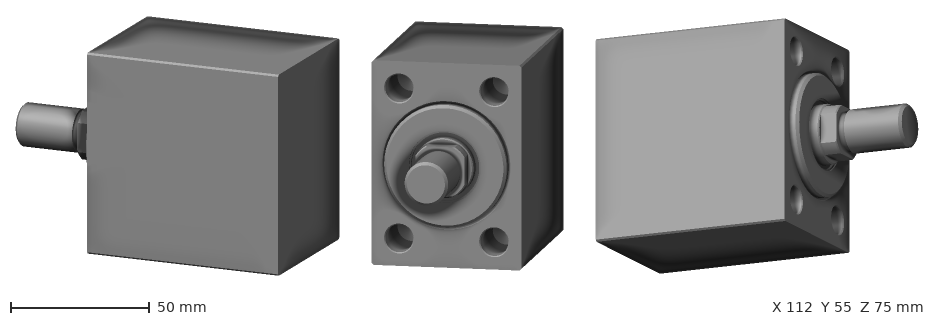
import cadquery as cq
import math


TOTAL_LENGTH = 112.0
BLOCK_SIDE = 75.0
BLOCK_WIDTH = 55.0
BLOCK_EDGE_CHAMFER = 0.7
BLOCK_FRONT = TOTAL_LENGTH - BLOCK_SIDE

GLAND_DIAMETER = 45.0
GLAND_PROTRUSION = 3.0
GLAND_CHAMFER = 1.0
GLAND_SEAT_DEPTH = 11.2
SEAT_MOUTH_DIAMETER = 47.0
GLAND_FRONT = BLOCK_FRONT - GLAND_PROTRUSION
SEAT_FLOOR = BLOCK_FRONT + GLAND_SEAT_DEPTH

WIPER_DIAMETER = 25.1
WIPER_LENGTH = 5.0
WIPER_RECESS = 1.6
POCKET_MOUTH_DIAMETER = 26.4
POCKET_MOUTH_DEPTH = 0.6
WIPER_FRONT = GLAND_FRONT + WIPER_RECESS
WIPER_BACK = WIPER_FRONT + WIPER_LENGTH

THREAD_DIAMETER = 16.0
THREAD_LENGTH = 22.5
THREAD_CHAMFER = 1.0
UNDERCUT_DIAMETER = 14.0
UNDERCUT_FILLET = 0.5
FLATS_START = 25.0
FLATS_END = 31.1
FLATS_COLLAR_DIAMETER = 21.0
ACROSS_FLATS = 18.0
SHANK_DIAMETER = 22.0
SHOULDER_CHAMFER = 0.5

HOLE_DIAMETER = 10.2
HOLE_MOUTH_DIAMETER = 11.0
HOLE_DEPTH = 22.4
HOLE_POINT_ANGLE = 118.0
HOLE_SPACING_Y = 35.0
HOLE_SPACING_Z = 55.0


def revolve_about_x(profile):
    """Turn a closed (x, radius) profile about the X axis."""
    return profile.close().revolve(360, (0, 0, 0), (1, 0, 0))


def cylinder(diameter, x_start, x_end):
    """Solid cylinder on the X axis."""
    disc = cq.Workplane("YZ", origin=(x_start, 0, 0)).circle(diameter / 2)
    return disc.extrude(x_end - x_start)


def tapered_mouth(mouth_diameter, bore_diameter, x_start):
    """45 degree countersink on the X axis, opening toward -X."""
    mouth_radius = mouth_diameter / 2
    bore_radius = bore_diameter / 2
    profile = (
        cq.Workplane("XY")
        .moveTo(x_start, 0)
        .lineTo(x_start, mouth_radius)
        .lineTo(x_start + mouth_radius - bore_radius, bore_radius)
        .lineTo(x_start + mouth_radius - bore_radius, 0)
    )
    return revolve_about_x(profile)


def make_mounting_hole():
    """Cutter for one blind hole with a countersunk mouth and a drill-point bottom."""
    radius = HOLE_DIAMETER / 2
    mouth_radius = HOLE_MOUTH_DIAMETER / 2
    countersink_end = BLOCK_FRONT + mouth_radius - radius
    hole_end = BLOCK_FRONT + HOLE_DEPTH
    point_length = radius / math.tan(math.radians(HOLE_POINT_ANGLE / 2))
    profile = (
        cq.Workplane("XY")
        .moveTo(BLOCK_FRONT, 0)
        .lineTo(BLOCK_FRONT, mouth_radius)
        .lineTo(countersink_end, radius)
        .lineTo(hole_end, radius)
        .lineTo(hole_end + point_length, 0)
    )
    return revolve_about_x(profile)


def make_housing():
    block = (
        cq.Workplane("XY")
        .box(BLOCK_SIDE, BLOCK_WIDTH, BLOCK_SIDE)
        .edges("|X")
        .chamfer(BLOCK_EDGE_CHAMFER)
        .translate((BLOCK_FRONT + BLOCK_SIDE / 2, 0, 0))
    )
    block = block.cut(cylinder(GLAND_DIAMETER, BLOCK_FRONT, SEAT_FLOOR))
    block = block.cut(tapered_mouth(SEAT_MOUTH_DIAMETER, GLAND_DIAMETER, BLOCK_FRONT))
    hole = make_mounting_hole()
    for y in (-HOLE_SPACING_Y / 2, HOLE_SPACING_Y / 2):
        for z in (-HOLE_SPACING_Z / 2, HOLE_SPACING_Z / 2):
            block = block.cut(hole.translate((0, y, z)))
    return block


def make_gland():
    disc = cylinder(GLAND_DIAMETER, GLAND_FRONT, SEAT_FLOOR)
    disc = disc.faces("<X").edges().chamfer(GLAND_CHAMFER)
    rod_bore = cylinder(SHANK_DIAMETER, GLAND_FRONT, SEAT_FLOOR)
    wiper_pocket = cylinder(WIPER_DIAMETER, GLAND_FRONT, WIPER_BACK)
    pocket_mouth = cylinder(POCKET_MOUTH_DIAMETER, GLAND_FRONT, GLAND_FRONT + POCKET_MOUTH_DEPTH)
    return disc.cut(rod_bore).cut(wiper_pocket).cut(pocket_mouth)


def make_wiper():
    ring = cylinder(WIPER_DIAMETER, WIPER_FRONT, WIPER_BACK)
    return ring.cut(cylinder(SHANK_DIAMETER, WIPER_FRONT, WIPER_BACK))


def make_threaded_end():
    """Thread blank with a chamfered tip, and the undercut with rounded corners behind it."""
    thread_radius = THREAD_DIAMETER / 2
    undercut_radius = UNDERCUT_DIAMETER / 2
    fillet_top = undercut_radius + UNDERCUT_FILLET
    fillet_mid = UNDERCUT_FILLET * (1 - math.sqrt(0.5))
    profile = (
        cq.Workplane("XY")
        .lineTo(0, thread_radius - THREAD_CHAMFER)
        .lineTo(THREAD_CHAMFER, thread_radius)
        .lineTo(THREAD_LENGTH, thread_radius)
        .lineTo(THREAD_LENGTH, fillet_top)
        .threePointArc(
            (THREAD_LENGTH + fillet_mid, undercut_radius + fillet_mid),
            (THREAD_LENGTH + UNDERCUT_FILLET, undercut_radius),
        )
        .lineTo(FLATS_START - UNDERCUT_FILLET, undercut_radius)
        .threePointArc(
            (FLATS_START - fillet_mid, undercut_radius + fillet_mid),
            (FLATS_START, fillet_top),
        )
        .lineTo(FLATS_START, 0)
    )
    return revolve_about_x(profile)


def make_wrench_collar():
    """Chamfered collar with four wrench flats."""
    collar = cylinder(FLATS_COLLAR_DIAMETER, FLATS_START, FLATS_END)
    collar = collar.faces("<X").edges().chamfer(SHOULDER_CHAMFER)
    square = (
        cq.Workplane("YZ", origin=(FLATS_START, 0, 0))
        .rect(ACROSS_FLATS, ACROSS_FLATS)
        .extrude(FLATS_END - FLATS_START)
    )
    return collar.intersect(square)


def make_rod():
    shank = cylinder(SHANK_DIAMETER, FLATS_END, SEAT_FLOOR)
    shank = shank.faces("<X").edges().chamfer(SHOULDER_CHAMFER)
    return shank.union(make_wrench_collar()).union(make_threaded_end())


housing = make_housing()
gland = make_gland()
wiper = make_wiper()
rod = make_rod()

result = cq.Compound.makeCompound([housing.val(), gland.val(), wiper.val(), rod.val()])